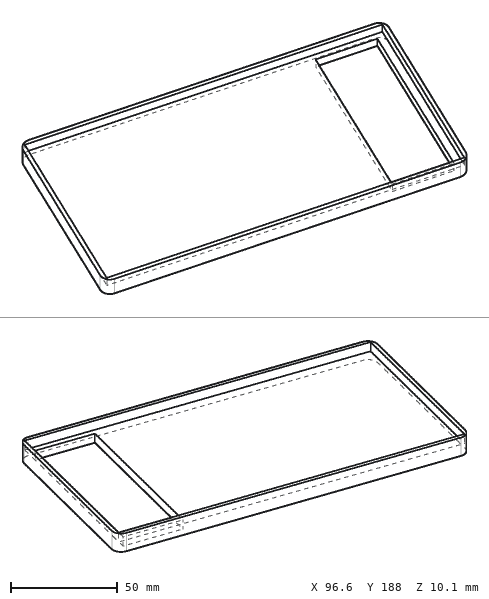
import cadquery as cq

width = 96.6
length = 188.0
height = 10.1
corner_radius = 5.0
wall = 2.0
floor_thickness = 5.0

window_width = width - 2 * corner_radius
window_length = 31.8
window_end_margin = 6.0
window_center_y = length / 2 - window_end_margin - window_length / 2


def make_body():
    """Solid block with rounded vertical corners, resting on Z = 0."""
    block = cq.Workplane("XY").box(width, length, height, centered=(True, True, False))
    return block.edges("|Z").fillet(corner_radius)


def make_cavity():
    """Square-cornered pocket, open at the top, that leaves the rim wall."""
    return (
        cq.Workplane("XY")
        .workplane(offset=floor_thickness)
        .rect(width - 2 * wall, length - 2 * wall)
        .extrude(height - floor_thickness)
    )


def make_window():
    """Rectangular opening through the floor."""
    return (
        cq.Workplane("XY")
        .center(0, window_center_y)
        .rect(window_width, window_length)
        .extrude(height)
    )


result = make_body().cut(make_cavity()).cut(make_window())